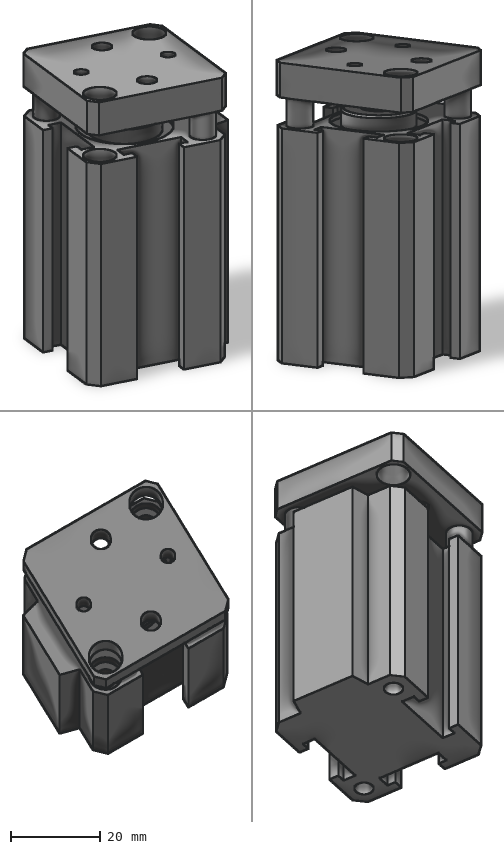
import cadquery as cq

width = 35.0
total_height = 69.0
plate_thickness = 8.0
housing_height = 53.95
plate_bottom = total_height - plate_thickness

housing_chamfer = 2.4
rail_height = 4.5
rail_base_width = 18.35
rail_top_width = 16.0
slot_mouth_width = 11.8
slot_inner_width = 16.0
slot_lip = 2.4
slot_depth = 5.6
recess_dia = 22.0
recess_depth = 1.0
collar_dia = 17.0
collar_height = 3.05
collar_chamfer = 0.55

corner_offset = 13.0
bolt_head_dia = 7.5
bolt_head_depth = 4.5
bolt_dia = 4.3

plate_chamfer = 2.0
plate_hole_offset = 11.0
plate_side_hole_dia = 4.5
plate_end_hole_dia = 3.25

guide_rod_dia = 6.0
piston_rod_dia = 8.0
rod_flat_width = 6.0
rod_flat_bottom = 57.95
rod_end_chamfer = 0.5
rod_insertion = 41.4
rod_bottom = housing_height - rod_insertion

bolt_corners = [(-corner_offset, corner_offset), (corner_offset, -corner_offset)]
guide_corners = [(-corner_offset, -corner_offset), (corner_offset, corner_offset)]


def cylinders(diameter, bottom, top, centres):
    """Upright cylinders of one diameter at the given XY centres."""
    return (
        cq.Workplane("XY", origin=(0, 0, bottom))
        .pushPoints(centres)
        .circle(diameter / 2)
        .extrude(top - bottom)
    )


def square_block(bottom, top, chamfer):
    """Square block on the Z axis with chamfered upright corners."""
    return (
        cq.Workplane("XY", origin=(0, 0, bottom))
        .rect(width, width)
        .extrude(top - bottom)
        .edges("|Z")
        .chamfer(chamfer)
    )


def make_rail():
    """Tapered rail along the whole height of the +Y side."""
    base_y = width / 2
    return (
        cq.Workplane("XY")
        .polyline([
            (-rail_base_width / 2, base_y),
            (rail_base_width / 2, base_y),
            (rail_top_width / 2, base_y + rail_height),
            (-rail_top_width / 2, base_y + rail_height),
        ])
        .close()
        .extrude(housing_height)
    )


def make_t_slot():
    """Cutter for the T-slot in the -Y side."""
    face_y = -width / 2
    mouth = (
        cq.Workplane("XY")
        .rect(slot_mouth_width, 2 * slot_depth)
        .extrude(housing_height)
        .translate((0, face_y, 0))
    )
    inner_length = slot_depth - slot_lip
    inner = (
        cq.Workplane("XY")
        .rect(slot_inner_width, inner_length)
        .extrude(housing_height)
        .translate((0, face_y + slot_lip + inner_length / 2, 0))
    )
    return mouth.union(inner)


def make_housing():
    housing = square_block(0, housing_height, housing_chamfer).union(make_rail())

    for angle in (-90, 0, 90):
        housing = housing.cut(make_t_slot().rotate((0, 0, 0), (0, 0, 1), angle))

    recess_bottom = housing_height - recess_depth
    collar_top = housing_height + collar_height
    housing = housing.cut(cylinders(recess_dia, recess_bottom, housing_height, [(0, 0)]))
    collar = cylinders(collar_dia, recess_bottom, collar_top, [(0, 0)])
    housing = housing.union(collar.faces(">Z").edges().chamfer(collar_chamfer))

    bolt_seat = housing_height - bolt_head_depth
    housing = housing.cut(cylinders(bolt_dia, 0, housing_height, bolt_corners))
    housing = housing.cut(cylinders(bolt_head_dia, bolt_seat, housing_height, bolt_corners))

    housing = housing.cut(cylinders(guide_rod_dia, rod_bottom, housing_height, guide_corners))
    return housing.cut(cylinders(piston_rod_dia, rod_bottom, collar_top, [(0, 0)]))


def make_piston_rod():
    """Rod with a chamfered end and two wrench flats that face -X and +X."""
    rod = cylinders(piston_rod_dia, rod_bottom, plate_bottom, [(0, 0)])
    rod = rod.faces(">Z").edges().chamfer(rod_end_chamfer)
    flat_depth = (piston_rod_dia - rod_flat_width) / 2
    for side in (-1, 1):
        flat = (
            cq.Workplane("XY", origin=(0, 0, rod_flat_bottom))
            .center(side * (rod_flat_width + flat_depth) / 2, 0)
            .rect(flat_depth, piston_rod_dia)
            .extrude(plate_bottom - rod_flat_bottom)
        )
        rod = rod.cut(flat)
    return rod


def make_moving_plate():
    """Plate with the piston rod and the two guide rods fixed to its underside."""
    plate = square_block(plate_bottom, total_height, plate_chamfer)
    side_holes = [(-plate_hole_offset, 0), (plate_hole_offset, 0)]
    end_holes = [(0, -plate_hole_offset), (0, plate_hole_offset)]
    for diameter, centres in (
        (bolt_head_dia, bolt_corners),
        (plate_side_hole_dia, side_holes),
        (plate_end_hole_dia, end_holes),
    ):
        plate = plate.cut(cylinders(diameter, plate_bottom, total_height, centres))

    plate = plate.union(cylinders(guide_rod_dia, rod_bottom, plate_bottom, guide_corners))
    return plate.union(make_piston_rod())


housing = make_housing()
moving_plate = make_moving_plate()

result = cq.Compound.makeCompound([housing.val(), moving_plate.val()])